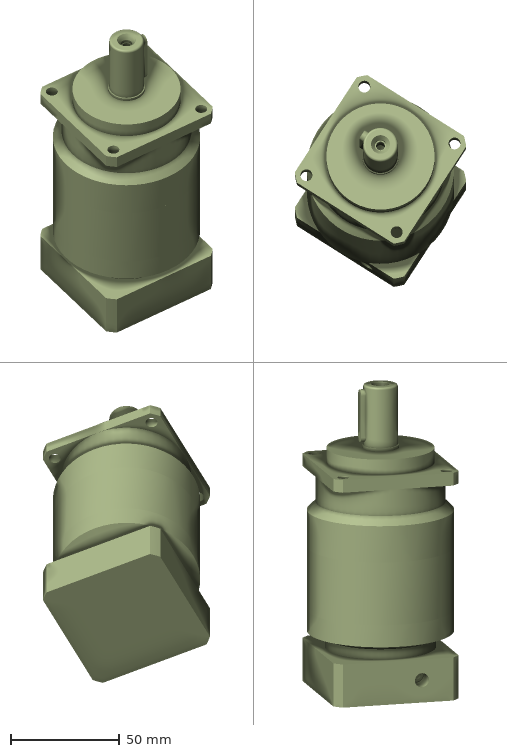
import cadquery as cq

BLOCK_TOP = 20.5
NECK_TOP = 25.2
LOWER_CONE_TOP = 28.1
RING_BOTTOM = 38.5
RING_TOP = 68.3
UPPER_CONE_BOTTOM = 85.5
UPPER_CONE_TOP = 89.5
FLANGE_BOTTOM = 102.0
FLANGE_TOP = 107.9
PILOT_TOP = 115.0
COLLAR_TOP = 116.5
SHAFT_TOP = 145.0

BODY_RADIUS = 34.0
NECK_RADIUS = 25.7
PILOT_RADIUS = 25.0
COLLAR_RADIUS = 8.5
SHAFT_RADIUS = 8.0
SHAFT_ROUNDING = 1.0

SQUARE_SIDE = 60.0
SHOULDER_RADIUS = SQUARE_SIDE / 2
CORNER_RADIUS = 40.0

MOUNT_HOLE_DIAMETER = 5.5
MOUNT_HOLE_SPACING = 49.5

CENTER_CONE_RADIUS = 4.4
CENTER_CONE_DEPTH = 2.3
CENTER_BORE_RADIUS = 2.6
CENTER_BORE_DEPTH = 3.8
CENTER_DRILL_RADIUS = 2.0
CENTER_DRILL_DEPTH = 12.5
CENTER_TIP_DEPTH = 13.6

KEY_WIDTH = 5.0
KEY_HEIGHT = 5.0
KEY_LENGTH = 25.0
KEY_TOP = 143.0
KEY_OUTER_Y = 10.0

ACCESS_Y = -11.5
ACCESS_Z = 10.6
ACCESS_RADIUS = 3.3
ACCESS_DEPTH = 13.0
HEAD_Z = 10.9
HEAD_RADIUS = 3.5
HEAD_HEIGHT = 4.0
HEAD_ROUNDING = 0.6
SOCKET_RADIUS = 2.0
SOCKET_DEPTH = 2.0


def cylinder(radius, bottom, top):
    """Cylinder on the gearbox axis between two heights."""
    return cq.Workplane("XY").workplane(offset=bottom).circle(radius).extrude(top - bottom)


def cone(bottom_radius, top_radius, bottom, top):
    """Truncated cone on the gearbox axis between two heights."""
    height = top - bottom
    solid = cq.Solid.makeCone(bottom_radius, top_radius, height, cq.Vector(0, 0, bottom))
    return cq.Workplane(solid)


def square_plate(bottom, top):
    """Square plate whose corners are turned to a common radius about the axis."""
    plate = cq.Workplane("XY").workplane(offset=bottom).rect(SQUARE_SIDE, SQUARE_SIDE).extrude(top - bottom)
    return plate.intersect(cylinder(CORNER_RADIUS, bottom, top))


def make_output_housing():
    """Upper housing: cylinder, cone, shoulder, square flange and pilot."""
    housing = (
        cylinder(BODY_RADIUS, RING_TOP, UPPER_CONE_BOTTOM)
        .union(cone(BODY_RADIUS, SHOULDER_RADIUS, UPPER_CONE_BOTTOM, UPPER_CONE_TOP))
        .union(cylinder(SHOULDER_RADIUS, UPPER_CONE_TOP, FLANGE_BOTTOM))
        .union(square_plate(FLANGE_BOTTOM, FLANGE_TOP))
        .union(cylinder(PILOT_RADIUS, FLANGE_TOP, PILOT_TOP))
    )
    mount_holes = (
        cq.Workplane("XY")
        .workplane(offset=FLANGE_BOTTOM)
        .rect(MOUNT_HOLE_SPACING, MOUNT_HOLE_SPACING, forConstruction=True)
        .vertices()
        .circle(MOUNT_HOLE_DIAMETER / 2)
        .extrude(FLANGE_TOP - FLANGE_BOTTOM)
    )
    return housing.cut(mount_holes)


def make_ring_gear():
    """Plain middle section of the gearbox body."""
    return cylinder(BODY_RADIUS, RING_BOTTOM, RING_TOP)


def side_cylinder(radius, z, start_depth, end_depth):
    """Cylinder along X between two depths below the -X side of the block."""
    start = cq.Vector(start_depth - SQUARE_SIDE / 2, ACCESS_Y, z)
    length = end_depth - start_depth
    return cq.Workplane(cq.Solid.makeCylinder(radius, length, start, cq.Vector(1, 0, 0)))


def make_screw_head():
    """Rounded screw head with a round socket, standing on the bottom of the access hole."""
    face_depth = ACCESS_DEPTH - HEAD_HEIGHT
    head = (
        side_cylinder(HEAD_RADIUS, HEAD_Z, face_depth, ACCESS_DEPTH)
        .faces("<X")
        .edges()
        .fillet(HEAD_ROUNDING)
    )
    return head.cut(side_cylinder(SOCKET_RADIUS, HEAD_Z, face_depth, face_depth + SOCKET_DEPTH))


def make_motor_adapter():
    """Lower body section, its cone and neck, and the square motor block."""
    adapter = (
        square_plate(0, BLOCK_TOP)
        .union(cylinder(NECK_RADIUS, BLOCK_TOP, NECK_TOP))
        .union(cone(NECK_RADIUS, BODY_RADIUS, NECK_TOP, LOWER_CONE_TOP))
        .union(cylinder(BODY_RADIUS, LOWER_CONE_TOP, RING_BOTTOM))
    )
    access_hole = side_cylinder(ACCESS_RADIUS, ACCESS_Z, 0, ACCESS_DEPTH)
    return adapter.cut(access_hole.cut(make_screw_head()))


def make_key():
    """Round-ended parallel key on the +Y side of the shaft."""
    return (
        cq.Workplane("XZ", origin=(0, KEY_OUTER_Y, KEY_TOP - KEY_LENGTH / 2))
        .slot2D(KEY_LENGTH, KEY_WIDTH, 90)
        .extrude(KEY_HEIGHT)
    )


def make_center_hole():
    """Cutter for the countersunk, stepped hole with a conical tip."""
    profile = [
        (0, SHAFT_TOP),
        (CENTER_CONE_RADIUS, SHAFT_TOP),
        (CENTER_BORE_RADIUS, SHAFT_TOP - CENTER_CONE_DEPTH),
        (CENTER_BORE_RADIUS, SHAFT_TOP - CENTER_BORE_DEPTH),
        (CENTER_DRILL_RADIUS, SHAFT_TOP - CENTER_BORE_DEPTH),
        (CENTER_DRILL_RADIUS, SHAFT_TOP - CENTER_DRILL_DEPTH),
        (0, SHAFT_TOP - CENTER_TIP_DEPTH),
    ]
    return cq.Workplane("XZ").polyline(profile).close().revolve(360, (0, 0), (0, 1))


def make_shaft(key):
    """Output shaft with collar, rounded end, center hole and a keyway that fits the key."""
    shaft = (
        cylinder(SHAFT_RADIUS, COLLAR_TOP, SHAFT_TOP)
        .faces(">Z")
        .edges()
        .fillet(SHAFT_ROUNDING)
        .union(cylinder(COLLAR_RADIUS, PILOT_TOP, COLLAR_TOP))
    )
    return shaft.cut(make_center_hole()).cut(key)


output_housing = make_output_housing()
ring_gear = make_ring_gear()
motor_adapter = make_motor_adapter()
key = make_key()
shaft = make_shaft(key)

result = cq.Compound.makeCompound(
    [output_housing.val(), ring_gear.val(), motor_adapter.val(), shaft.val(), key.val()]
)